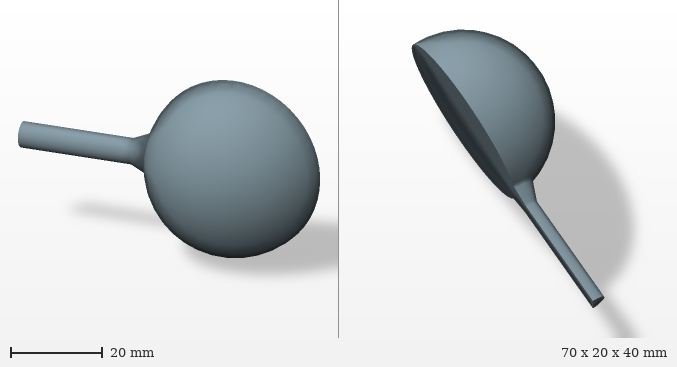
import cadquery as cq
import math

total_length = 70
ball_diameter = 40.0
stem_radius = 3.0
neck_start = 26.05
neck_ball_radius = 5.05
blend_radius = 1.0

ball_radius = ball_diameter / 2
tip_x = ball_radius - total_length
neck_start_x = tip_x + neck_start
neck_end_x = -math.sqrt(ball_radius**2 - neck_ball_radius**2)


def full_body():
    """Stem, conical neck and ball, turned about X from one half profile."""
    profile = (
        cq.Workplane("XY")
        .moveTo(tip_x, 0)
        .lineTo(tip_x, stem_radius)
        .lineTo(neck_start_x, stem_radius)
        .lineTo(neck_end_x, neck_ball_radius)
        .threePointArc((0, ball_radius), (ball_radius, 0))
        .close()
    )
    return profile.revolve(360, (0, 0, 0), (1, 0, 0))


def blend_neck(body):
    """Round the inside corners at both ends of the neck."""
    neck = body.faces("%CONE")
    return neck.edges("%CIRCLE").fillet(blend_radius)


def front_half(body):
    """Keep the -Y half, leaving a flat face on the XZ plane."""
    cutter = cq.Workplane("XY").box(
        2 * total_length,
        ball_diameter,
        2 * ball_diameter,
        centered=(True, False, True),
    )
    return body.cut(cutter)


result = front_half(blend_neck(full_body()))